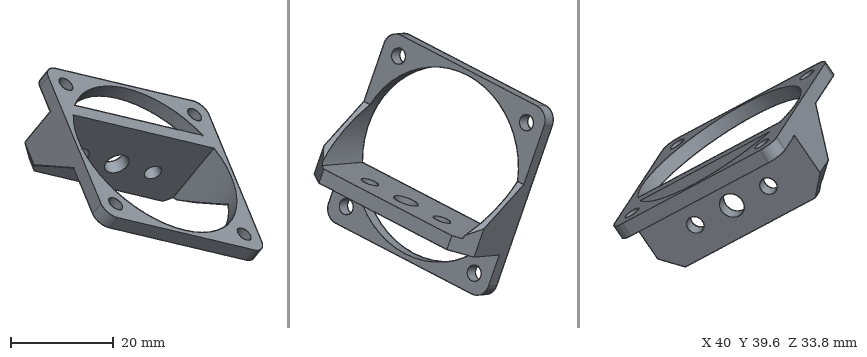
import cadquery as cq

plate_side = 40.0
plate_thickness = 3.0
corner_radius = 3.0
bore_diameter = 38.0
screw_diameter = 3.2
screw_inset = 4.0
tilt_angle = -35.0

web_left = -plate_side / 2 + 9.6
web_thickness = 3.0
web_depth = 16.0
web_chamfer = 4.0
gusset_leg = 12.0

center_hole_diameter = 5.0
side_hole_diameter = 3.5
side_hole_spacing = 18.0

web_right = web_left + web_thickness
half_side = plate_side / 2
hole_row_z = -(plate_thickness + web_depth) / 2


def make_plate():
    """Rounded plate with its top face at Z = 0 and a screw hole in each corner."""
    screw_pitch = plate_side - 2 * screw_inset
    return (
        cq.Workplane("XY")
        .rect(plate_side, plate_side)
        .extrude(-plate_thickness)
        .edges("|Z")
        .fillet(corner_radius)
        .faces(">Z")
        .workplane()
        .rect(screw_pitch, screw_pitch, forConstruction=True)
        .vertices()
        .hole(screw_diameter)
    )


def make_side_profile():
    """YZ outline of the web, with chamfered lower corners, as a bar spanning the plate in X."""
    shoulder_z = -web_depth + web_chamfer
    foot_y = half_side - web_chamfer
    return (
        cq.Workplane("YZ", origin=(-half_side, 0, 0))
        .polyline([
            (-half_side, 0),
            (half_side, 0),
            (half_side, shoulder_z),
            (foot_y, -web_depth),
            (-foot_y, -web_depth),
            (-half_side, shoulder_z),
        ])
        .close()
        .extrude(plate_side)
    )


def make_web():
    """Upright wall of full plate length, flush with the plate's top face."""
    slab = (
        cq.Workplane("XY")
        .box(web_thickness, plate_side, web_depth, centered=(False, True, False))
        .translate((web_left, 0, -web_depth))
    )
    return slab.intersect(make_side_profile())


def make_gussets():
    """Triangular wedge under the plate; the bore later splits it into two gussets."""
    wedge = (
        cq.Workplane("XZ", origin=(0, half_side, 0))
        .moveTo(web_right, -plate_thickness)
        .lineTo(web_right + gusset_leg, -plate_thickness)
        .lineTo(web_right, -plate_thickness - gusset_leg)
        .close()
        .extrude(plate_side)
    )
    return wedge.intersect(make_side_profile())


def make_web_hole(y, diameter):
    """Cutter for a hole through the web, parallel to X."""
    return (
        cq.Workplane("YZ", origin=(web_left, 0, 0))
        .center(y, hole_row_z)
        .circle(diameter / 2)
        .extrude(web_thickness)
    )


bore = cq.Workplane("XY").circle(bore_diameter / 2).extrude(-web_depth)

bracket = make_plate().union(make_gussets()).cut(bore).union(make_web())

bracket = bracket.cut(make_web_hole(0, center_hole_diameter))
for side in (-1, 1):
    bracket = bracket.cut(make_web_hole(side * side_hole_spacing / 2, side_hole_diameter))

result = bracket.rotate((0, 0, 0), (1, 0, 0), tilt_angle)